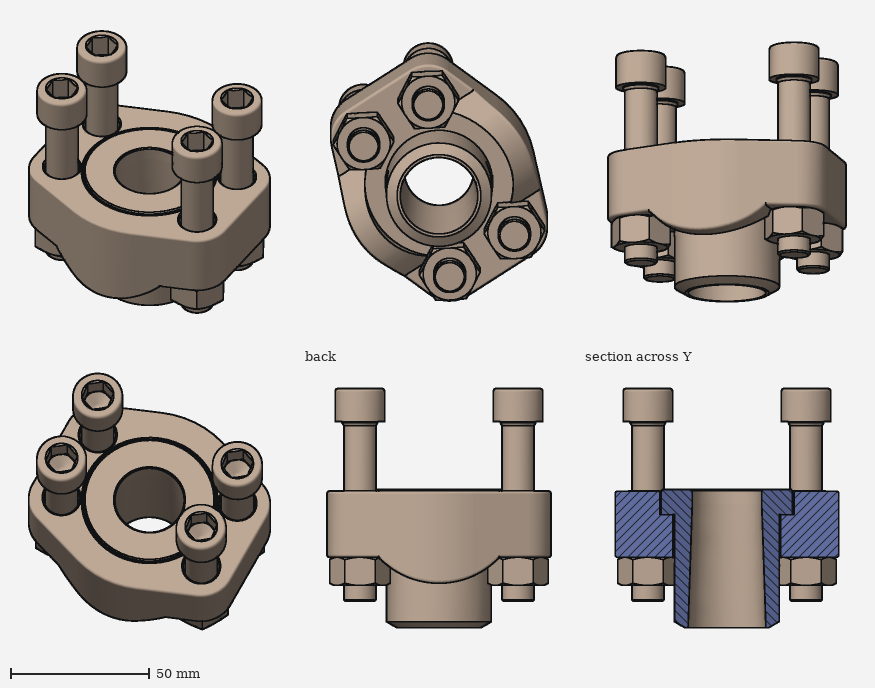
import cadquery as cq
import math

TOTAL_HEIGHT = 86.5
BOLT_X = 28.55
BOLT_Y = 13.9
BOLT_CENTRES = [(side_x * BOLT_X, side_y * BOLT_Y) for side_x in (-1, 1) for side_y in (-1, 1)]

FLANGE_LENGTH = 81.0
FLANGE_WIDTH = 69.9
FLANGE_BOTTOM = 25.4
FLANGE_TOP = 49.5
RIM_FILLET = 1.0
CORNER_RADIUS = FLANGE_LENGTH / 2 - BOLT_X
SIDE_RADIUS = FLANGE_WIDTH / 2
BULGE_RADIUS = 30.0
BULGE_BOTTOM = 16.1
WELD_CLEARANCE_DIAMETER = 53.6
NECK_BORE_DIAMETER = 38.8
BOLT_HOLE_DIAMETER = 13.0
BOLT_HOLE_CHAMFER = 0.5

COLLAR_DIAMETER = 47.6
COLLAR_THICKNESS = 9.0
COLLAR_CHAMFER = 0.5
COLLAR_STANDOUT = 0.5
RECESS_DIAMETER = 48.4
RECESS_CHAMFER = 0.4
NECK_TOP = FLANGE_TOP + COLLAR_STANDOUT
COLLAR_BOTTOM = NECK_TOP - COLLAR_THICKNESS
PIPE_DIAMETER = 38.0
WAIST_DIAMETER = 37.9
TAPER_BOTTOM = 20.1
TAPER_TOP = 25.0
NOSE_DIAMETER = 30.3
NOSE_BEVEL_HEIGHT = 2.25
THROAT_DIAMETER = 25.0
THROAT_LENGTH = 5.0
THROAT_CHAMFER = 0.4
NOSE_BORE_DIAMETER = 28.0

SHANK_DIAMETER = 11.7
BOLT_BOTTOM = 9.6
TIP_CHAMFER = 0.6
HEAD_DIAMETER = 18.0
HEAD_HEIGHT = 12.0
HEAD_BOTTOM = TOTAL_HEIGHT - HEAD_HEIGHT
HEAD_FILLET = 1.2
SHOULDER_DIAMETER = 13.0
SHOULDER_LAND = 0.35
SHOULDER_HEIGHT = 1.5
SOCKET_WIDTH = 10.0
SOCKET_DEPTH = 8.65
SOCKET_TURN = -23.0
SOCKET_MOUTH_DIAMETER = 11.7
SOCKET_MOUTH_DEPTH = 0.4
DRILL_DIAMETER = 10.4
DRILL_POINT_DEPTH = 3.0

NUT_WIDTH = 19.0
NUT_HEIGHT = 10.0
NUT_BOTTOM = FLANGE_BOTTOM - NUT_HEIGHT
NUT_CHAMFER_HEIGHT = 0.8
NUT_CHAMFER_WIDTH = 1.4


def revolved(profile):
    """Solid made by turning a closed list of (radius, height) points about the Z axis."""
    return cq.Workplane("XZ").polyline(profile).close().revolve(360, (0, 0, 0), (0, 1, 0))


def cylinder(diameter, bottom, top):
    return cq.Workplane("XY").workplane(offset=bottom).circle(diameter / 2).extrude(top - bottom)


def hexagon_prism(width, bottom, top):
    """Hexagonal prism measured across its flats, with two corners on the X axis."""
    corner_diameter = 2 * width / math.sqrt(3)
    return cq.Workplane("XY").workplane(offset=bottom).polygon(6, corner_diameter).extrude(top - bottom)


def drilled_hole(diameter, bottom, chamfer):
    """Cutter for a round hole from `bottom` to the flange top, with a 45 degree mouth chamfer."""
    radius = diameter / 2
    return revolved([
        (0, bottom),
        (radius, bottom),
        (radius, FLANGE_TOP - chamfer),
        (radius + chamfer, FLANGE_TOP),
        (0, FLANGE_TOP),
    ])


def flange_prism():
    """Plate outline, extruded: corner arcs about the bolts, joined by tangents to two side arcs."""
    centre_distance = math.hypot(BOLT_X, BOLT_Y)
    centre_angle = math.atan2(BOLT_Y, BOLT_X)
    tangent_angle = centre_angle + math.acos((SIDE_RADIUS - CORNER_RADIUS) / centre_distance)

    def corner_point(angle):
        return (BOLT_X + CORNER_RADIUS * math.cos(angle), BOLT_Y + CORNER_RADIUS * math.sin(angle))

    def quadrant(point, side_x, side_y):
        return (side_x * point[0], side_y * point[1])

    corner_start = corner_point(0)
    corner_middle = corner_point(tangent_angle / 2)
    corner_end = corner_point(tangent_angle)
    side_start = (SIDE_RADIUS * math.cos(tangent_angle), SIDE_RADIUS * math.sin(tangent_angle))

    outline = cq.Workplane("XY").moveTo(*quadrant(corner_start, 1, -1))
    for half in (1, -1):
        outline = (
            outline.lineTo(*quadrant(corner_start, half, half))
            .threePointArc(quadrant(corner_middle, half, half), quadrant(corner_end, half, half))
            .lineTo(*quadrant(side_start, half, half))
            .threePointArc((0, half * SIDE_RADIUS), quadrant(side_start, -half, half))
            .lineTo(*quadrant(corner_end, -half, half))
            .threePointArc(quadrant(corner_middle, -half, half), quadrant(corner_start, -half, half))
        )
    return outline.close().extrude(FLANGE_TOP)


def is_lower_rim(edge):
    """True for the edges around the underside, except the two creases beside the bulge."""
    box = edge.BoundingBox()
    tolerance = 0.01
    on_underside = box.zmax < FLANGE_BOTTOM + tolerance
    runs_along_y = box.xlen < tolerance
    inside_plate = abs(edge.Center().x) < BOLT_X
    return on_underside and not (runs_along_y and inside_plate)


def flange_blank():
    """Plate with its bulge, the upper and lower rims rounded."""
    slab = (
        cq.Workplane("XY").workplane(offset=FLANGE_BOTTOM)
        .rect(2 * FLANGE_LENGTH, 2 * FLANGE_WIDTH).extrude(FLANGE_TOP)
    )
    bulge = (
        cq.Workplane("XZ").center(0, BULGE_BOTTOM + BULGE_RADIUS)
        .circle(BULGE_RADIUS).extrude(FLANGE_WIDTH, both=True)
    )
    blank = flange_prism().intersect(slab.union(bulge))
    blank = blank.faces(">Z").edges().fillet(RIM_FILLET)
    lower_rim = [edge for edge in blank.edges().vals() if is_lower_rim(edge)]
    return blank.newObject(lower_rim).fillet(RIM_FILLET)


def make_flange():
    flange = (
        flange_blank()
        .cut(cylinder(WELD_CLEARANCE_DIAMETER, 0, FLANGE_BOTTOM))
        .cut(cylinder(NECK_BORE_DIAMETER, 0, FLANGE_TOP))
        .cut(drilled_hole(RECESS_DIAMETER, COLLAR_BOTTOM, RECESS_CHAMFER))
    )
    bolt_hole = drilled_hole(BOLT_HOLE_DIAMETER, 0, BOLT_HOLE_CHAMFER)
    nut_relief = nut_blank()
    for x, y in BOLT_CENTRES:
        flange = flange.cut(bolt_hole.translate((x, y, 0)))
        flange = flange.cut(nut_relief.translate((x, y, 0)))
    return flange


def make_neck():
    pipe_radius = PIPE_DIAMETER / 2
    waist_radius = WAIST_DIAMETER / 2
    collar_radius = COLLAR_DIAMETER / 2
    throat_radius = THROAT_DIAMETER / 2
    return revolved([
        (NOSE_BORE_DIAMETER / 2, 0),
        (NOSE_DIAMETER / 2, 0),
        (pipe_radius, NOSE_BEVEL_HEIGHT),
        (pipe_radius, TAPER_BOTTOM),
        (waist_radius, TAPER_TOP),
        (waist_radius, COLLAR_BOTTOM),
        (collar_radius, COLLAR_BOTTOM),
        (collar_radius, NECK_TOP - COLLAR_CHAMFER),
        (collar_radius - COLLAR_CHAMFER, NECK_TOP),
        (throat_radius + THROAT_CHAMFER, NECK_TOP),
        (throat_radius, NECK_TOP - THROAT_CHAMFER),
        (throat_radius, NECK_TOP - THROAT_LENGTH),
    ])


def bolt_with_socket(body):
    """Cut the hexagon socket, its countersunk mouth and its conical drill point."""
    floor = TOTAL_HEIGHT - SOCKET_DEPTH
    mouth_bottom = TOTAL_HEIGHT - SOCKET_MOUTH_DEPTH
    hexagon = hexagon_prism(SOCKET_WIDTH, floor, TOTAL_HEIGHT).rotate((0, 0, 0), (0, 0, 1), SOCKET_TURN)
    mouth = revolved([
        (0, mouth_bottom),
        (SOCKET_WIDTH / 2, mouth_bottom),
        (SOCKET_MOUTH_DIAMETER / 2, TOTAL_HEIGHT),
        (0, TOTAL_HEIGHT),
    ])
    drill_point = revolved([(0, floor - DRILL_POINT_DEPTH), (DRILL_DIAMETER / 2, floor), (0, floor)])
    return body.cut(hexagon).cut(mouth).cut(drill_point)


def make_bolt():
    shank_radius = SHANK_DIAMETER / 2
    shoulder_radius = SHOULDER_DIAMETER / 2
    head_radius = HEAD_DIAMETER / 2
    body = revolved([
        (0, BOLT_BOTTOM),
        (shank_radius - TIP_CHAMFER, BOLT_BOTTOM),
        (shank_radius, BOLT_BOTTOM + TIP_CHAMFER),
        (shank_radius, HEAD_BOTTOM - SHOULDER_HEIGHT),
        (shoulder_radius, HEAD_BOTTOM - SHOULDER_LAND),
        (shoulder_radius, HEAD_BOTTOM),
        (head_radius, HEAD_BOTTOM),
        (head_radius, TOTAL_HEIGHT),
        (0, TOTAL_HEIGHT),
    ])
    return bolt_with_socket(body.faces(">Z").edges().fillet(HEAD_FILLET))


def nut_blank():
    """Hexagon with its corners turned off at both ends, without the hole."""
    corner_radius = NUT_WIDTH / math.sqrt(3)
    turned = revolved([
        (0, NUT_BOTTOM),
        (corner_radius - NUT_CHAMFER_WIDTH, NUT_BOTTOM),
        (corner_radius, NUT_BOTTOM + NUT_CHAMFER_HEIGHT),
        (corner_radius, FLANGE_BOTTOM - NUT_CHAMFER_HEIGHT),
        (corner_radius - NUT_CHAMFER_WIDTH, FLANGE_BOTTOM),
        (0, FLANGE_BOTTOM),
    ])
    return hexagon_prism(NUT_WIDTH, NUT_BOTTOM, FLANGE_BOTTOM).intersect(turned)


def make_nut():
    return nut_blank().cut(cylinder(SHANK_DIAMETER, NUT_BOTTOM, FLANGE_BOTTOM))


def copies_at_bolt_centres(body):
    return [body.translate((x, y, 0)).val() for x, y in BOLT_CENTRES]


flange = make_flange()
neck = make_neck()
bolts = copies_at_bolt_centres(make_bolt())
nuts = copies_at_bolt_centres(make_nut())

result = cq.Compound.makeCompound([flange.val(), neck.val(), *bolts, *nuts])